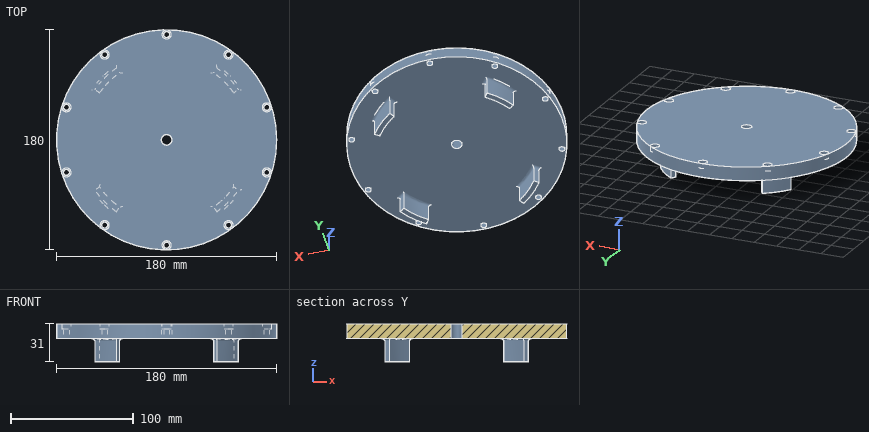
import cadquery as cq
import math

disc_diameter = 180.0
disc_thickness = 12.0
total_height = 31.0
center_hole_diameter = 8.5

screw_count = 10
screw_circle_radius = 86.0
first_screw_angle = 90.0
screw_hole_diameter = 4.7
counterbore_diameter = 7.4
counterbore_depth = 4.3

foot_count = 4
foot_outer_radius = 71.6
foot_inner_radius = 67.0
foot_span_angle = 20.0
first_foot_angle = 45.0
foot_height = total_height - disc_thickness
foot_fillet = 2.0


def polar_point(radius, angle):
    """Point at the given radius and angle in degrees."""
    turn = math.radians(angle)
    return (radius * math.cos(turn), radius * math.sin(turn))


def make_disc():
    """Plain disc with its underside on Z = 0 and a central through hole."""
    disc = cq.Workplane("XY").circle(disc_diameter / 2).extrude(disc_thickness)
    return disc.faces(">Z").workplane().hole(center_hole_diameter)


def make_foot(middle_angle):
    """Ring sector hanging down from the underside of the disc."""
    start = middle_angle - foot_span_angle / 2
    end = middle_angle + foot_span_angle / 2
    return (
        cq.Workplane("XY")
        .moveTo(*polar_point(foot_inner_radius, start))
        .lineTo(*polar_point(foot_outer_radius, start))
        .threePointArc(
            polar_point(foot_outer_radius, middle_angle),
            polar_point(foot_outer_radius, end),
        )
        .lineTo(*polar_point(foot_inner_radius, end))
        .threePointArc(
            polar_point(foot_inner_radius, middle_angle),
            polar_point(foot_inner_radius, start),
        )
        .close()
        .extrude(-foot_height)
    )


def add_feet(body):
    """Join the feet and round the corner where they meet the disc."""
    for index in range(foot_count):
        body = body.union(make_foot(first_foot_angle + index * 360 / foot_count))
    feet_zone = cq.selectors.BoxSelector(
        (-foot_outer_radius, -foot_outer_radius, -foot_fillet),
        (foot_outer_radius, foot_outer_radius, foot_fillet),
    )
    center_zone = cq.selectors.BoxSelector(
        (-center_hole_diameter, -center_hole_diameter, -foot_fillet),
        (center_hole_diameter, center_hole_diameter, foot_fillet),
        boundingbox=True,
    )
    rim_edge = cq.selectors.RadiusNthSelector(-1)
    foot_outlines = feet_zone - center_zone - rim_edge
    return body.edges(foot_outlines).fillet(foot_fillet)


def cut_screw_holes(body):
    """Cut the counterbored holes, with one hole on the +Y axis."""
    return (
        body.faces(">Z")
        .workplane()
        .polarArray(screw_circle_radius, first_screw_angle, 360, screw_count)
        .cboreHole(screw_hole_diameter, counterbore_diameter, counterbore_depth)
    )


result = cut_screw_holes(add_feet(make_disc()))